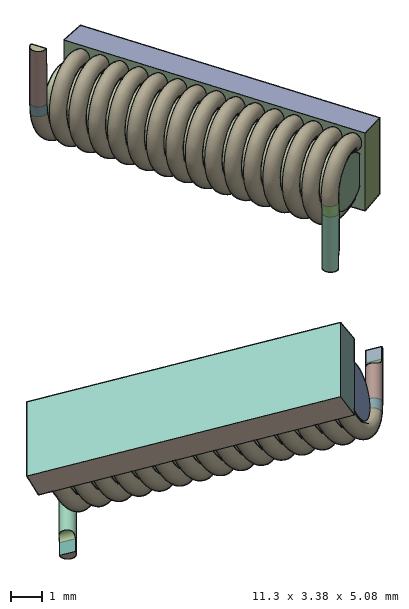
import cadquery as cq
import math

overall_length = 11.29
overall_height = 5.08
overall_depth = 3.38

wire_diameter = 0.56
coil_outer_radius = 1.58
turns = 15
bend_height = 0.38

tip_thickness = 0.32
tip_length = 0.76

core_radius = 0.99
core_length = 10.66

block_length = 11.06
block_height = 3.04
block_depth = 1.05
block_draft = 2.0
block_offset = -0.02

wire_radius = wire_diameter / 2
coil_radius = coil_outer_radius - wire_radius
lead_x = overall_length / 2 - wire_radius
lead_end = overall_height / 2
front_y = -coil_outer_radius
block_front_y = front_y + overall_depth - block_depth
coil_circumference = 2 * math.pi * coil_radius
pitch = 2 * lead_x / (turns + bend_height / coil_circumference)
helix_slope = pitch / coil_circumference
bend_shift = bend_height * helix_slope / 2
helix_length = turns * pitch


def make_winding():
    """Helical wire that starts and ends at the -Y side of the coil axis."""
    path = cq.Wire.makeHelix(pitch, helix_length, coil_radius)
    path = path.rotate(cq.Vector(), cq.Vector(0, 0, 1), 180)
    path = path.rotate(cq.Vector(), cq.Vector(0, 1, 0), 90)
    path = path.rotate(cq.Vector(), cq.Vector(1, 0, 0), 90)
    path = path.translate(cq.Vector(-helix_length / 2, 0, 0))
    start = path.positionAt(0)
    section = cq.Plane(origin=start.toTuple(), xDir=(0, 1, 0), normal=path.tangentAt(0).toTuple())
    return cq.Workplane(section).circle(wire_radius).sweep(cq.Workplane(path), isFrenet=True)


def make_lead():
    """Bend and vertical lead at the -X end, with the lead tip flattened on its +Y side."""
    joint = cq.Workplane("XY", origin=(-lead_x, -coil_radius, bend_height))
    straight = joint.circle(wire_radius).extrude(lead_end - bend_height)

    bend_path = cq.Workplane(cq.Edge.makeBezier([
        cq.Vector(-lead_x, -coil_radius, bend_height),
        cq.Vector(-lead_x, -coil_radius, bend_height / 2),
        cq.Vector(-lead_x + bend_shift, -coil_radius, 0),
    ]))
    bend = joint.circle(wire_radius).sweep(bend_path)

    flat_y = front_y + tip_thickness
    back_y = front_y + wire_diameter
    runout_radius = back_y - flat_y
    flat_bottom = lead_end - tip_length + runout_radius
    runout_offset = runout_radius * math.sqrt(0.5)
    tip_cut = (
        cq.Workplane("YZ", origin=(-lead_x, 0, 0))
        .moveTo(flat_y, lead_end)
        .lineTo(flat_y, flat_bottom)
        .threePointArc((back_y - runout_offset, flat_bottom - runout_offset),
                       (back_y, flat_bottom - runout_radius))
        .lineTo(back_y, lead_end)
        .close()
        .extrude(wire_radius, both=True)
    )
    return straight.cut(tip_cut).union(bend)


def make_coil():
    """Winding with a lead at each end; the far lead is the first turned half round about Y."""
    lead = make_lead()
    far_lead = lead.rotate((0, 0, 0), (0, 1, 0), 180)
    return make_winding().union(lead).union(far_lead)


def make_core():
    """Plain round rod inside the coil."""
    core_start = block_offset - core_length / 2
    return cq.Workplane("YZ", origin=(core_start, 0, 0)).circle(core_radius).extrude(core_length)


def make_block(coil, core):
    """Drafted block in which the +Y side of the coil and core is embedded."""
    block = (
        cq.Workplane("XZ", origin=(block_offset, block_front_y, 0))
        .rect(block_length, block_height)
        .extrude(-block_depth, taper=block_draft)
    )
    return block.cut(core).cut(coil)


coil = make_coil()
core = make_core()
block = make_block(coil, core)

result = cq.Compound.makeCompound([block.solids().val(), core.val(), coil.solids().val()])